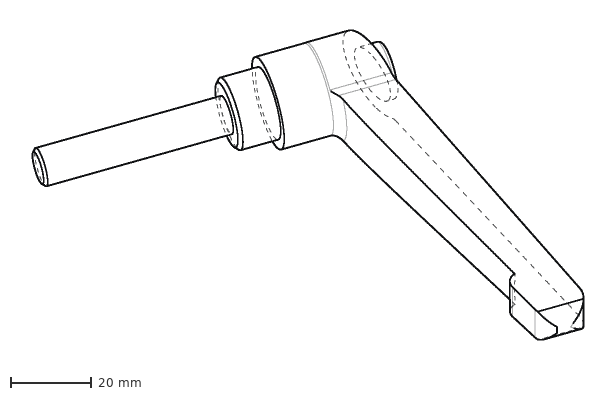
import cadquery as cq
import math


stud_radius = 5.0
stud_length = 50.0
stud_chamfer = 0.8
bushing_radius = 9.45
bushing_height = 11.0
bushing_chamfer = 1.0
sleeve_radius = 12.05
sleeve_top = 24.0

button_radius = 7.45
button_top = 43.0
button_fillet = 1.0

hub_radius = 12.1
lever_reach = 92.0
lever_height = 63.36
top_angle = math.radians(16)
underside_angle = math.radians(19.8)
upper_corner_radius = 5.0
lower_corner_radius = 6.0

arm_root_half_width = 8.8
arm_taper = math.radians(2)
end_round_start = 89.0
side_blend_radius = 3.0

neck_radius = 3.0
nose_radius = 2.8
nose_x = 78.8
nose_y = 50.0

arc_mid_angle = (math.pi / 2 + underside_angle) / 2

margin = 10.0


def cylinder(radius, bottom, top):
    """Cylinder about the insert axis between two heights along Y."""
    return cq.Workplane("XZ", origin=(0, bottom, 0)).circle(radius).extrude(bottom - top)


def make_insert():
    stud = cylinder(stud_radius, -stud_length, 0).faces("<Y").chamfer(stud_chamfer)
    bushing = cylinder(bushing_radius, 0, bushing_height).faces("<Y").chamfer(bushing_chamfer)
    sleeve = cylinder(sleeve_radius, bushing_height, sleeve_top)
    button = cylinder(button_radius, sleeve_top, button_top).faces(">Y").edges().fillet(button_fillet)
    return stud.union(bushing).union(sleeve).union(button)


def make_plan_prism():
    """Hub circle and tapered arm, as seen along Y, drawn out over the lever height."""
    end_half_width = arm_root_half_width - end_round_start * math.tan(arm_taper)
    arm = (
        cq.Workplane("XZ", origin=(0, sleeve_top, 0))
        .moveTo(0, -arm_root_half_width)
        .lineTo(end_round_start, -end_half_width)
        .threePointArc((lever_reach, 0), (end_round_start, end_half_width))
        .lineTo(0, arm_root_half_width)
        .close()
        .extrude(sleeve_top - lever_height)
    )
    hub = cylinder(hub_radius, sleeve_top, lever_height)
    corner_reach = hub_radius + margin
    corners = cq.selectors.BoxSelector(
        (0, sleeve_top, -corner_reach), (corner_reach, lever_height, corner_reach)
    )
    return hub.union(arm).edges("|Y").edges(corners).fillet(side_blend_radius)


def make_top_prism():
    """Everything below the sloping top face, with the rounded upper tip corner."""
    slope = math.tan(top_angle)
    crest_x = lever_reach - upper_corner_radius
    crest_y = lever_height - upper_corner_radius
    tangent_x = crest_x - upper_corner_radius * math.sin(top_angle)
    tangent_y = crest_y + upper_corner_radius * math.cos(top_angle)
    start_x = -hub_radius - margin
    return (
        cq.Workplane("XY")
        .moveTo(start_x, 0)
        .lineTo(lever_reach, 0)
        .lineTo(lever_reach, crest_y)
        .threePointArc((crest_x + upper_corner_radius * math.sin(math.pi / 4),
                        crest_y + upper_corner_radius * math.cos(math.pi / 4)),
                       (tangent_x, tangent_y))
        .lineTo(start_x, tangent_y - slope * (tangent_x - start_x))
        .close()
        .extrude(hub_radius + margin, both=True)
    )


def underside_height(x):
    """Height of the conical underside at a distance from the insert axis."""
    neck_end_x = sleeve_radius + neck_radius * (1 - math.sin(underside_angle))
    neck_end_y = sleeve_top + neck_radius * math.cos(underside_angle)
    return neck_end_y + (x - neck_end_x) * math.tan(underside_angle)


def make_conical_envelope():
    """Body of revolution about the insert axis: concave neck, then the conical underside."""
    neck_x = sleeve_radius + neck_radius
    neck_end_x = neck_x - neck_radius * math.sin(underside_angle)
    neck_mid = (neck_x - neck_radius * math.sin(arc_mid_angle),
                sleeve_top + neck_radius * math.cos(arc_mid_angle))
    return (
        cq.Workplane("XY")
        .moveTo(0, sleeve_top)
        .lineTo(sleeve_radius, sleeve_top)
        .threePointArc(neck_mid, (neck_end_x, underside_height(neck_end_x)))
        .lineTo(lever_reach, underside_height(lever_reach))
        .lineTo(lever_reach, lever_height + margin)
        .lineTo(0, lever_height + margin)
        .close()
        .revolve(360, (0, 0, 0), (0, 1, 0))
    )


def make_grip_prism():
    """Finger grip hanging below the underside, with its nose and the lower tip corner."""
    sine = math.sin(underside_angle)
    cosine = math.cos(underside_angle)
    nose_rear = (nose_x - nose_radius, nose_y)
    nose_mid = (nose_x - nose_radius * math.sin(math.pi / 4),
                nose_y - nose_radius * math.cos(math.pi / 4))
    nose_end = (nose_x + nose_radius * sine, nose_y - nose_radius * cosine)

    corner_x = lever_reach - lower_corner_radius
    corner_start_x = corner_x + lower_corner_radius * sine
    corner_start_y = nose_end[1] + (corner_start_x - nose_end[0]) * math.tan(underside_angle)
    corner_y = corner_start_y + lower_corner_radius * cosine
    corner_mid = (corner_x + lower_corner_radius * math.sin(arc_mid_angle),
                  corner_y - lower_corner_radius * math.cos(arc_mid_angle))
    return (
        cq.Workplane("XY")
        .moveTo(*nose_rear)
        .threePointArc(nose_mid, nose_end)
        .lineTo(corner_start_x, corner_start_y)
        .threePointArc(corner_mid, (lever_reach, corner_y))
        .lineTo(lever_reach, lever_height)
        .lineTo(nose_rear[0], lever_height)
        .close()
        .extrude(hub_radius + margin, both=True)
    )


def make_lever():
    blank = make_plan_prism().intersect(make_top_prism())
    arm = blank.intersect(make_conical_envelope())
    grip = blank.intersect(make_grip_prism())
    return arm.union(grip)


result = make_lever().union(make_insert())